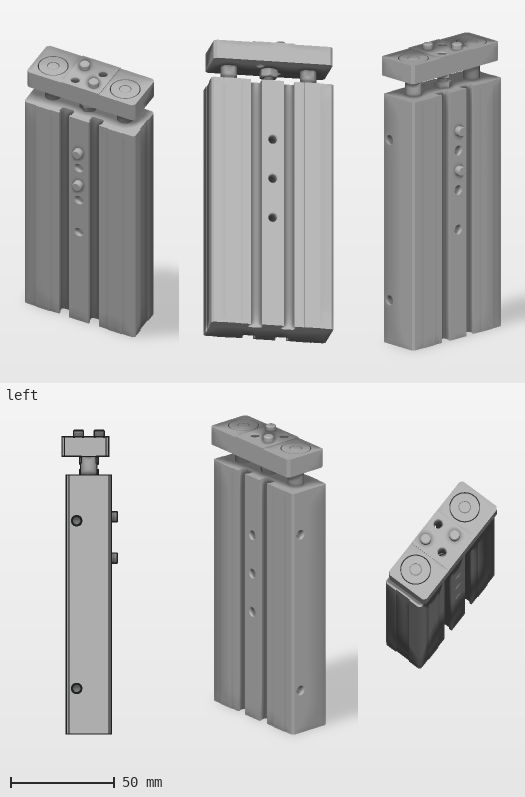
import cadquery as cq
import math

OVERALL_HEIGHT = 146.6

HOUSING_WIDTH = 60.0
HOUSING_DEPTH = 22.0
HOUSING_HEIGHT = 125.0
HOUSING_CHAMFER = 1.0
RELIEF_DEPTH = 0.3

STRIP_WIDTH = 7.6

SLOT_OFFSET = 8.0
SLOT_MOUTH = 5.4
SLOT_INNER = 6.7
SLOT_DEPTH = 5.0
SLOT_LIP = 1.5
SLOT_CHAMFER = 0.7

SIDE_GROOVE_WIDTH = 8.2
SIDE_GROOVE_DEPTH = 0.5

PORT_Y = 5.9
PORT_HEIGHTS = (22.0, 102.9)
PORT_DEPTH = 5.0
DRILL_TIP_ANGLE = 118

HOLE_DIAMETER = 4.1
HOLE_MOUTH = 5.0
HOLE_PITCH = 10.0
PIN_DIAMETER = 5.0
PIN_PROTRUSION = 3.0
PIN_DEPTH = 6.0
PIN_CHAMFER = 0.5

TOP_FRONT_PIN_Z = 104.8
FRONT_PIN_STEPS = (0, 2)
FRONT_HOLE_STEPS = (1, 3, 5)

PLATE_WIDTH = 58.5
PLATE_DEPTH = 22.7
PLATE_BACK = 13.0
PLATE_BOTTOM = 134.0
PLATE_CHAMFER = 1.3
PLATE_TOP = OVERALL_HEIGHT - PIN_PROTRUSION
PLATE_STEP = 0.5
PLATE_PAD_WIDTH = 20.4

ROD_OFFSET = 19.5
ROD_DIAMETER = 8.0
ROD_INSERTION = 100.0
ROD_FLATS = 6.9
ROD_FLATS_HEIGHT = 3.2
ROD_NECK = 6.0
ROD_STUD_TIP = 5.0
ROD_HEAD = 14.0
ROD_HEAD_HEIGHT = 5.0
HEAD_RECESS = 15.0

STOP_THREAD = 5.0
HEX_FLATS = 7.9
HEX_CORNERS = HEX_FLATS / math.cos(math.pi / 6)
STOP_HEAD_HEIGHT = 2.5
LOCK_NUT_HEIGHT = 4.4
LOCK_NUT_FACE = 6.9
NUT_CHAMFER_ANGLE = 30

SIDES = (-1, 1)
HOUSING_FRONT = -HOUSING_DEPTH / 2
PLATE_SIDE_TOP = PLATE_TOP - PLATE_STEP
ROD_BOTTOM = HOUSING_HEIGHT - ROD_INSERTION
HEAD_BOTTOM = PLATE_SIDE_TOP - ROD_HEAD_HEIGHT
FRONT_PIN_HEIGHTS = [TOP_FRONT_PIN_Z - step * HOLE_PITCH for step in FRONT_PIN_STEPS]
FRONT_HOLE_HEIGHTS = [TOP_FRONT_PIN_Z - step * HOLE_PITCH for step in FRONT_HOLE_STEPS]
PLATE_PIN_POINTS = [(side * HOLE_PITCH / 2, -side * HOLE_PITCH / 2) for side in SIDES]
PLATE_HOLE_POINTS = [(side * HOLE_PITCH / 2, side * HOLE_PITCH / 2) for side in SIDES]


def block(width, depth, height, x, y, z):
    """Box centred on x and y, standing on z."""
    return cq.Workplane().box(width, depth, height, centered=(True, True, False)).translate((x, y, z))


def cylinder(diameter, start, direction, length):
    return cq.Workplane(cq.Solid.makeCylinder(diameter / 2, length, cq.Vector(*start), cq.Vector(*direction)))


def countersink(start, direction):
    """Cone that chamfers the mouth of a tapped hole at 45 degrees."""
    depth = (HOLE_MOUTH - HOLE_DIAMETER) / 2
    cone = cq.Solid.makeCone(
        HOLE_MOUTH / 2, HOLE_DIAMETER / 2, depth, cq.Vector(*start), cq.Vector(*direction)
    )
    return cq.Workplane(cone)


def drilled_port(z):
    """Blind port with a drill-point bottom and a chamfered mouth, entering along +X."""
    start = (-HOUSING_WIDTH / 2, PORT_Y, z)
    inward = (1, 0, 0)
    radius = HOLE_DIAMETER / 2
    tip_length = radius / math.tan(math.radians(DRILL_TIP_ANGLE / 2))
    tip_start = cq.Vector(start[0] + PORT_DEPTH, PORT_Y, z)
    tip = cq.Solid.makeCone(radius, 0, tip_length, tip_start, cq.Vector(*inward))
    return cylinder(HOLE_DIAMETER, start, inward, PORT_DEPTH).union(tip).union(countersink(start, inward))


def t_slot(x):
    """T-slot cutter with a bevelled floor, for the front face."""
    mouth = SLOT_MOUTH / 2
    inner = SLOT_INNER / 2
    floor = inner - SLOT_CHAMFER
    right_half = [
        (mouth, 0),
        (mouth, SLOT_LIP),
        (inner, SLOT_LIP),
        (inner, SLOT_DEPTH - SLOT_CHAMFER),
        (floor, SLOT_DEPTH),
    ]
    left_half = [(-across, deep) for across, deep in reversed(right_half)]
    slot = cq.Workplane().polyline(right_half + left_half).close().extrude(HOUSING_HEIGHT)
    return slot.translate((x, HOUSING_FRONT, 0))


def face_cutters():
    """Relief beside the raised strips, and both T-slots, for the front face."""
    cutters = []
    strip_inner = ROD_OFFSET - STRIP_WIDTH / 2
    strip_outer = ROD_OFFSET + STRIP_WIDTH / 2
    for side in SIDES:
        for inner, outer in ((SLOT_OFFSET, strip_inner), (strip_outer, HOUSING_WIDTH / 2)):
            x = side * (inner + outer) / 2
            cutters.append(block(outer - inner, 2 * RELIEF_DEPTH, HOUSING_HEIGHT, x, HOUSING_FRONT, 0))
        cutters.append(t_slot(side * SLOT_OFFSET))
    return cutters


def make_housing():
    body = block(HOUSING_WIDTH, HOUSING_DEPTH, HOUSING_HEIGHT, 0, 0, 0)
    body = body.edges("|Z").chamfer(HOUSING_CHAMFER + RELIEF_DEPTH)
    for cutter in face_cutters():
        body = body.cut(cutter).cut(cutter.mirror("XZ"))

    groove = block(2 * SIDE_GROOVE_DEPTH, SIDE_GROOVE_WIDTH, HOUSING_HEIGHT, HOUSING_WIDTH / 2, 0, 0)
    body = body.cut(groove)

    for z in PORT_HEIGHTS:
        body = body.cut(drilled_port(z))
    for z in FRONT_HOLE_HEIGHTS:
        start = (0, HOUSING_FRONT, z)
        body = body.cut(cylinder(HOLE_DIAMETER, start, (0, 1, 0), HOUSING_DEPTH))
        body = body.cut(countersink(start, (0, 1, 0)))
        body = body.cut(countersink((0, -HOUSING_FRONT, z), (0, -1, 0)))
    for z in FRONT_PIN_HEIGHTS:
        body = body.cut(cylinder(PIN_DIAMETER, (0, HOUSING_FRONT, z), (0, 1, 0), PIN_DEPTH))
    for side in SIDES:
        body = body.cut(cylinder(ROD_DIAMETER, (side * ROD_OFFSET, 0, ROD_BOTTOM), (0, 0, 1), ROD_INSERTION))
    return body


def hexagon(z, height):
    """Hexagonal prism with corners toward +Y and -Y."""
    prism = cq.Workplane().polygon(6, HEX_CORNERS).extrude(height)
    return prism.rotate((0, 0, 0), (0, 0, 1), 90).translate((0, 0, z))


def lock_nut():
    """Hexagon whose corners are bevelled at both ends."""
    bevel = (HEX_CORNERS - LOCK_NUT_FACE) / 2 * math.tan(math.radians(NUT_CHAMFER_ANGLE))
    envelope = (
        cq.Workplane("XZ")
        .moveTo(0, 0)
        .lineTo(LOCK_NUT_FACE / 2, 0)
        .lineTo(HEX_CORNERS / 2, bevel)
        .lineTo(HEX_CORNERS / 2, LOCK_NUT_HEIGHT - bevel)
        .lineTo(LOCK_NUT_FACE / 2, LOCK_NUT_HEIGHT)
        .lineTo(0, LOCK_NUT_HEIGHT)
        .close()
        .revolve(360, (0, 0, 0), (0, 1, 0))
    )
    return hexagon(0, LOCK_NUT_HEIGHT).intersect(envelope).translate((0, 0, PLATE_BOTTOM - LOCK_NUT_HEIGHT))


def make_plate():
    """Tool plate, in one piece with the stop bolt and lock nut under it."""
    y = PLATE_BACK - PLATE_DEPTH / 2
    plate = block(PLATE_WIDTH, PLATE_DEPTH, PLATE_SIDE_TOP - PLATE_BOTTOM, 0, y, PLATE_BOTTOM)
    plate = plate.edges("|Z").chamfer(PLATE_CHAMFER)
    plate = plate.union(block(PLATE_PAD_WIDTH, PLATE_DEPTH, PLATE_STEP, 0, y, PLATE_SIDE_TOP))

    down = (0, 0, -1)
    for px, py in PLATE_HOLE_POINTS:
        start = (px, py, PLATE_TOP)
        plate = plate.cut(cylinder(HOLE_DIAMETER, start, down, PLATE_TOP - PLATE_BOTTOM))
        plate = plate.cut(countersink(start, down))
    for px, py in PLATE_PIN_POINTS:
        plate = plate.cut(cylinder(PIN_DIAMETER, (px, py, PLATE_TOP), down, PIN_DEPTH))
    for side in SIDES:
        start = (side * ROD_OFFSET, 0, PLATE_SIDE_TOP)
        plate = plate.cut(cylinder(ROD_NECK, start, down, PLATE_SIDE_TOP - PLATE_BOTTOM))
        plate = plate.cut(cylinder(HEAD_RECESS, start, down, ROD_HEAD_HEIGHT))

    thread = cylinder(STOP_THREAD, (0, 0, HOUSING_HEIGHT), (0, 0, 1), PLATE_BOTTOM - HOUSING_HEIGHT)
    return plate.union(thread).union(hexagon(HOUSING_HEIGHT, STOP_HEAD_HEIGHT)).union(lock_nut())


def make_rod(x):
    """Guide rod with wrench flats, a neck through the plate and a flush round head."""
    up = (0, 0, 1)
    rod = cylinder(ROD_DIAMETER, (0, 0, ROD_BOTTOM), up, PLATE_BOTTOM - ROD_BOTTOM)
    for side in SIDES:
        flat_y = side * (ROD_FLATS + ROD_DIAMETER) / 2
        flats_bottom = PLATE_BOTTOM - ROD_FLATS_HEIGHT
        rod = rod.cut(block(ROD_DIAMETER, ROD_DIAMETER, ROD_FLATS_HEIGHT, 0, flat_y, flats_bottom))

    head = cylinder(ROD_HEAD, (0, 0, HEAD_BOTTOM), up, ROD_HEAD_HEIGHT)
    groove_depth = (ROD_NECK - ROD_STUD_TIP) / 2
    groove_bottom = PLATE_SIDE_TOP - groove_depth
    stud_tip = cq.Solid.makeCone(ROD_NECK / 2, ROD_STUD_TIP / 2, groove_depth, cq.Vector(0, 0, groove_bottom))
    head = head.cut(cylinder(ROD_NECK, (0, 0, groove_bottom), up, groove_depth)).union(stud_tip)

    neck = cylinder(ROD_NECK, (0, 0, PLATE_BOTTOM), up, HEAD_BOTTOM - PLATE_BOTTOM)
    return rod.union(neck).union(head).translate((x, 0, 0))


def make_pin(surface_point, outward):
    """Locating pin standing out of a face, with a bevelled outer end."""
    pin = cq.Workplane().circle(PIN_DIAMETER / 2).extrude(PIN_DEPTH + PIN_PROTRUSION)
    pin = pin.faces(">Z").edges().chamfer(PIN_CHAMFER)
    base = cq.Vector(*surface_point) - cq.Vector(*outward) * PIN_DEPTH
    return cq.Workplane(pin.val().moved(cq.Plane(base, (1, 0, 0), outward).location))


housing = make_housing()
plate = make_plate()
rods = [make_rod(side * ROD_OFFSET) for side in SIDES]
plate_pins = [make_pin((x, y, PLATE_TOP), (0, 0, 1)) for x, y in PLATE_PIN_POINTS]
front_pins = [make_pin((0, HOUSING_FRONT, z), (0, -1, 0)) for z in FRONT_PIN_HEIGHTS]

result = cq.Compound.makeCompound(
    [housing.val(), plate.val()] + [body.val() for body in rods + plate_pins + front_pins]
)